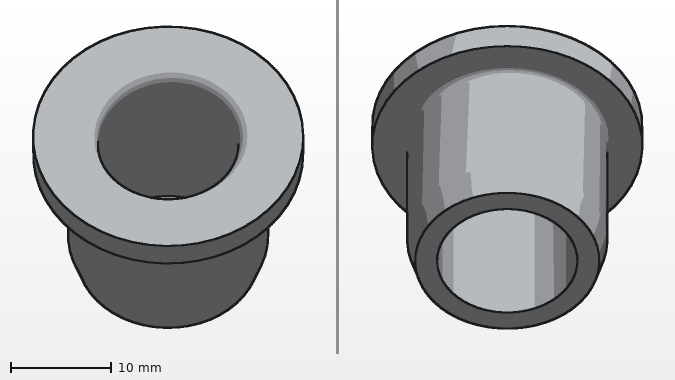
import cadquery as cq
import math

flange_diameter = 27.0
body_diameter = 20.0
bore_diameter = 14.0
total_height = 20.0
flange_thickness = 3.0

bore_round_radius = 1.5
neck_fillet_radius = 0.75
lead_in_height = 3.0
lead_in_angle = 15.0

flange_radius = flange_diameter / 2
body_radius = body_diameter / 2
bore_radius = bore_diameter / 2
flange_underside = total_height - flange_thickness
tip_radius = body_radius - lead_in_height * math.tan(math.radians(lead_in_angle))

arc_mid = math.sqrt(0.5)

neck_center_r = body_radius + neck_fillet_radius
neck_center_z = flange_underside - neck_fillet_radius
round_center_r = bore_radius + bore_round_radius
round_center_z = total_height - bore_round_radius

half_section = (
    cq.Workplane("XZ")
    .moveTo(bore_radius, 0)
    .lineTo(tip_radius, 0)
    .lineTo(body_radius, lead_in_height)
    .lineTo(body_radius, neck_center_z)
    .threePointArc(
        (neck_center_r - neck_fillet_radius * arc_mid, neck_center_z + neck_fillet_radius * arc_mid),
        (neck_center_r, flange_underside),
    )
    .lineTo(flange_radius, flange_underside)
    .lineTo(flange_radius, total_height)
    .lineTo(round_center_r, total_height)
    .threePointArc(
        (round_center_r - bore_round_radius * arc_mid, round_center_z + bore_round_radius * arc_mid),
        (bore_radius, round_center_z),
    )
    .close()
)

result = half_section.revolve(360, (0, 0, 0), (0, 1, 0))